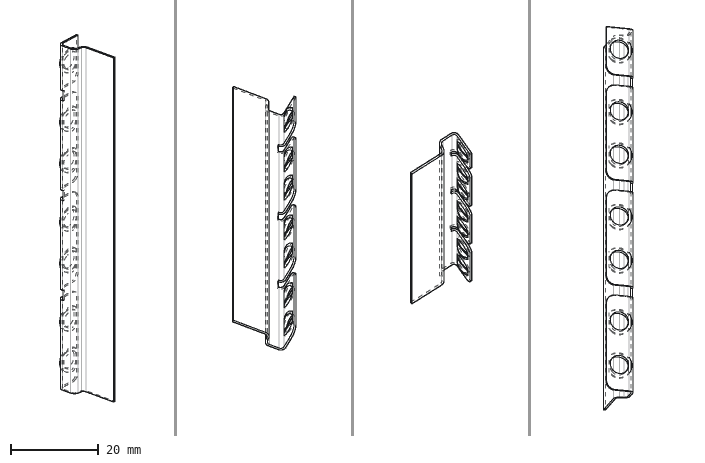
import cadquery as cq
import math

LENGTH = 87.75
WIDTH = 14.2
FLANGE_HEIGHT = 6.7
PLATE_TOP = 3.25
SHEET = 0.5
OUTER_BEND = 1.3
INNER_BEND = OUTER_BEND - SHEET
RISER_LEAN = 10.0
LOWER_BEND_X = 3.8

TAB_PITCH = 25.45
SLOT_HEIGHT = 2.55
SLOT_DEPTH = 1.5
SLOT_COUNT = 3
TAB_CORNER = 2.0

HOLE_DIAMETER = 4.4
HOLE_SPACING = 10.5
HOLE_Y = 3.6

RIM_RADIUS = 3.0
RIM_HEIGHT = 1.1

TAB_LENGTH = TAB_PITCH - SLOT_HEIGHT


def polar(center, radius, degrees):
    """Point at an angle, counted from +X, on a circle about center."""
    angle = math.radians(degrees)
    return (center[0] + radius * math.cos(angle), center[1] + radius * math.sin(angle))


def bent_strip():
    """Flange, floor, leaning riser and plate as one extruded outline."""
    lower = (LOWER_BEND_X, OUTER_BEND)
    lean = math.radians(RISER_LEAN)
    centers_across = OUTER_BEND + INNER_BEND
    rise = PLATE_TOP - OUTER_BEND - lower[1]
    riser_length = (rise + centers_across * math.sin(lean)) / math.cos(lean)
    upper = (
        lower[0] + centers_across * math.cos(lean) + riser_length * math.sin(lean),
        PLATE_TOP - OUTER_BEND,
    )
    riser_right = -RISER_LEAN
    riser_left = 180.0 - RISER_LEAN
    riser_middle = (riser_right - 90.0) / 2
    upper_middle = (riser_left + 90.0) / 2
    corner = (OUTER_BEND, OUTER_BEND)
    return (
        cq.Workplane("XY")
        .moveTo(0, FLANGE_HEIGHT)
        .lineTo(0, OUTER_BEND)
        .threePointArc(polar(corner, OUTER_BEND, 225), (OUTER_BEND, 0))
        .lineTo(lower[0], 0)
        .threePointArc(polar(lower, OUTER_BEND, riser_middle), polar(lower, OUTER_BEND, riser_right))
        .lineTo(*polar(upper, INNER_BEND, riser_left))
        .threePointArc(polar(upper, INNER_BEND, upper_middle), polar(upper, INNER_BEND, 90))
        .lineTo(WIDTH, PLATE_TOP - SHEET)
        .lineTo(WIDTH, PLATE_TOP)
        .lineTo(upper[0], PLATE_TOP)
        .threePointArc(polar(upper, OUTER_BEND, upper_middle), polar(upper, OUTER_BEND, riser_left))
        .lineTo(*polar(lower, INNER_BEND, riser_right))
        .threePointArc(polar(lower, INNER_BEND, riser_middle), polar(lower, INNER_BEND, -90))
        .lineTo(OUTER_BEND, SHEET)
        .radiusArc((SHEET, OUTER_BEND), INNER_BEND)
        .lineTo(SHEET, FLANGE_HEIGHT)
        .close()
        .extrude(LENGTH)
    )


def slot(bottom):
    """Gap between two tabs, cut through the flange and its bend."""
    gap = cq.Workplane("XY").box(SLOT_DEPTH, FLANGE_HEIGHT, SLOT_HEIGHT, centered=False)
    return gap.translate((0, 0, bottom))


def corner_waste(z, toward):
    """Sliver outside a rounded tab corner at height z; the tab lies on the `toward` side (+1 or -1)."""
    y_start = FLANGE_HEIGHT - TAB_CORNER
    z_end = z + toward * TAB_CORNER
    reach = TAB_CORNER * math.sqrt(0.5)
    return (
        cq.Workplane("YZ")
        .moveTo(y_start, z)
        .threePointArc((y_start + reach, z_end - toward * reach), (FLANGE_HEIGHT, z_end))
        .lineTo(FLANGE_HEIGHT, z)
        .close()
        .extrude(SHEET)
    )


def rim(z):
    """Disc behind the flange whose inner face is arched about an axis along Z."""
    arch = (
        cq.Workplane("XY", origin=(0, 0, z - RIM_RADIUS))
        .moveTo(0, HOLE_Y - RIM_RADIUS)
        .threePointArc((RIM_HEIGHT, HOLE_Y), (0, HOLE_Y + RIM_RADIUS))
        .close()
        .extrude(2 * RIM_RADIUS)
    )
    disc = cq.Workplane("YZ").center(HOLE_Y, z).circle(RIM_RADIUS).extrude(RIM_HEIGHT)
    return arch.intersect(disc)


def hole(z):
    """Round hole along X through the flange and the rim behind it."""
    return cq.Workplane("YZ").center(HOLE_Y, z).circle(HOLE_DIAMETER / 2).extrude(RIM_HEIGHT)


pair_offsets = [(TAB_LENGTH - HOLE_SPACING) / 2, (TAB_LENGTH + HOLE_SPACING) / 2]
hole_heights = [tab * TAB_PITCH + offset for tab in range(SLOT_COUNT) for offset in pair_offsets]
hole_heights.append(SLOT_COUNT * TAB_PITCH + pair_offsets[0])

result = bent_strip()
for height in hole_heights:
    result = result.union(rim(height))
for height in hole_heights:
    result = result.cut(hole(height))

result = result.cut(corner_waste(0, 1))
for index in range(SLOT_COUNT):
    slot_bottom = index * TAB_PITCH + TAB_LENGTH
    slot_top = slot_bottom + SLOT_HEIGHT
    result = result.cut(slot(slot_bottom))
    result = result.cut(corner_waste(slot_bottom, -1))
    result = result.cut(corner_waste(slot_top, 1))